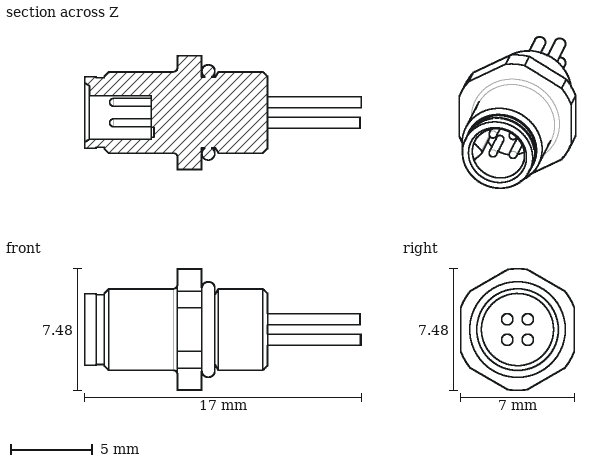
import cadquery as cq
import math

collar_end = 0.7
neck_end = 1.19
nut_start = 5.68
nut_thickness = 1.5
nut_end = nut_start + nut_thickness
rear_start = 8.0
rear_end = 11.22
total_length = 16.97
short_wire_end = 16.9

body_radius = 5.0 / 2
collar_radius = 4.4 / 2
neck_radius = 4.3 / 2
edge_chamfer = 0.29
rear_cone_length = 0.2
rear_cone_drop = rear_cone_length * math.tan(math.radians(60))
nut_fillet = 0.25

nut_across_flats = 7.0
nut_corner_diameter = 7.48

ring_section_radius = (rear_start - nut_end) / 2
ring_outer_radius = 2.94
groove_radius = ring_outer_radius - 2 * ring_section_radius + 0.05

bore_radius = 3.25 / 2
mouth_radius = 3.63 / 2
mouth_depth = 0.29
bore_depth = 4.07

contact_offset = 0.63
pin_diameter = 0.48
pin_tip = 1.53
wire_diameter = 0.7

key_apex = 0.95
key_apex_fillet = 0.17
index_diameter = 0.6
index_offset = 1.2
index_depth = 0.17


def rod(diameter, start, end, y=0, z=0):
    """Cylinder parallel to X."""
    plane = cq.Workplane("YZ", origin=(start, y, z))
    return plane.circle(diameter / 2).extrude(end - start)


def make_shell():
    """Turned body: collar, neck, barrel, ring groove and rear barrel."""
    profile = (
        cq.Workplane("XY")
        .lineTo(0, collar_radius)
        .lineTo(collar_end, collar_radius)
        .lineTo(collar_end, neck_radius)
        .lineTo(neck_end, neck_radius)
        .lineTo(neck_end, body_radius - edge_chamfer)
        .lineTo(neck_end + edge_chamfer, body_radius)
        .lineTo(nut_start - nut_fillet, body_radius)
        .radiusArc((nut_start, body_radius + nut_fillet), -nut_fillet)
        .lineTo(nut_end, body_radius + nut_fillet)
        .lineTo(nut_end, groove_radius)
        .lineTo(rear_start, groove_radius)
        .lineTo(rear_start, body_radius - rear_cone_drop)
        .lineTo(rear_start + rear_cone_length, body_radius)
        .lineTo(rear_end - edge_chamfer, body_radius)
        .lineTo(rear_end, body_radius - edge_chamfer)
        .lineTo(rear_end, 0)
        .close()
    )
    return profile.revolve(360, (0, 0, 0), (1, 0, 0))


def make_nut():
    """Hexagon with flats facing +Y and -Y."""
    across_corners = nut_across_flats / math.cos(math.radians(30))
    hexagon = (
        cq.Workplane("YZ", origin=(nut_start, 0, 0))
        .transformed(rotate=(0, 0, 30))
        .polygon(6, across_corners)
        .extrude(nut_thickness)
    )
    return hexagon.intersect(rod(nut_corner_diameter, nut_start, nut_end))


def make_ring():
    """O-ring around the X axis."""
    return (
        cq.Workplane("XY")
        .moveTo(nut_end + ring_section_radius, ring_outer_radius - ring_section_radius)
        .circle(ring_section_radius)
        .revolve(360, (0, 0, 0), (1, 0, 0))
    )


def make_socket():
    """Bore with a conical lead-in at the mouth."""
    return (
        cq.Workplane("XY")
        .lineTo(0, mouth_radius)
        .lineTo(mouth_depth, bore_radius)
        .lineTo(bore_depth, bore_radius)
        .lineTo(bore_depth, 0)
        .close()
        .revolve(360, (0, 0, 0), (1, 0, 0))
    )


def make_key():
    """Right-angled rib on the +Y side of the bore, with a rounded apex."""
    root = neck_radius
    half_width = root - key_apex
    wedge = (
        cq.Workplane("YZ", origin=(mouth_depth, 0, 0))
        .polyline([(key_apex, 0), (root, half_width), (root, -half_width)])
        .close()
        .extrude(bore_depth - mouth_depth)
        .edges("|X and <Y")
        .fillet(key_apex_fillet)
    )
    wall_middle_diameter = bore_radius + neck_radius
    return wedge.intersect(rod(wall_middle_diameter, mouth_depth, bore_depth))


def make_pin(y, z):
    """Contact pin with a hemispherical tip."""
    tip_center = pin_tip + pin_diameter / 2
    shank = rod(pin_diameter, tip_center, bore_depth + pin_diameter, y, z)
    tip = cq.Workplane("XY").sphere(pin_diameter / 2).translate((tip_center, y, z))
    return shank.union(tip)


def make_wire(y, z):
    """Wire leaving the rear face; the one at +Y, -Z is slightly longer."""
    end = total_length if y > 0 > z else short_wire_end
    return rod(wire_diameter, rear_end - wire_diameter, end, y, z)


result = make_shell().union(make_nut()).union(make_ring())
result = result.cut(make_socket()).union(make_key())
result = result.cut(rod(index_diameter, bore_depth, bore_depth + index_depth, -index_offset))

for contact_y in (-contact_offset, contact_offset):
    for contact_z in (-contact_offset, contact_offset):
        result = result.union(make_pin(contact_y, contact_z))
        result = result.union(make_wire(contact_y, contact_z))